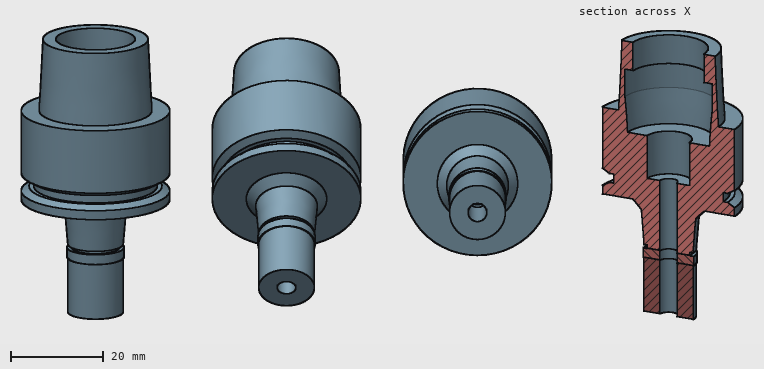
import cadquery as cq
import math


total_height = 61.0
nut_top = 12.25
collar_top = 14.45
stem_bottom = 15.2
stem_top = 23.1
flange_bottom = 25.15
taper_length = 16.0
flange_top = total_height - taper_length

through_bore_radius = 2.0
nut_radius = 12.0 / 2
collar_radius = 12.3 / 2

neck_radius = 10.5 / 2
stem_bottom_radius = nut_radius
stem_top_radius = 6.65
shoulder_radius = stem_top_radius + (flange_bottom - stem_top)
flange_radius = 32.0 / 2
taper_tip_radius = 11.35
taper_slope = 1 / 20
taper_base_radius = taper_tip_radius + taper_length * taper_slope

groove_radius = 13.3
groove_bottom = 28.1
groove_top = 30.1
flank_height = 1.0
flank_width = flank_height / math.tan(math.radians(30))

lip_radius = 8.55
lip_depth = 6.5
clamping_radius = 10.5
clamping_depth = 12.6
cavity_depth = 20.75
cavity_wall_slope = 0.08
cavity_floor_radius = clamping_radius - (cavity_depth - clamping_depth) * cavity_wall_slope
pilot_radius = 5.05
pilot_depth = 30.5


def turned(outline):
    """Solid of revolution about Z from (radius, height) points."""
    return cq.Workplane("XZ").polyline(outline).close().revolve(360, (0, 0), (0, 1))


def make_ring(outer_radius, bottom, top):
    """Plain ring around the through bore."""
    plane = cq.Workplane("XY").workplane(offset=bottom)
    return plane.circle(outer_radius).circle(through_bore_radius).extrude(top - bottom)


def make_holder_blank():
    flank_radius = flange_radius - flank_width
    return turned([
        (0, collar_top),
        (neck_radius, collar_top),
        (neck_radius, stem_bottom),
        (stem_bottom_radius, stem_bottom),
        (stem_top_radius, stem_top),
        (shoulder_radius, flange_bottom),
        (flange_radius, flange_bottom),
        (flange_radius, groove_bottom - flank_height),
        (flank_radius, groove_bottom),
        (groove_radius, groove_bottom),
        (groove_radius, groove_top),
        (flank_radius, groove_top),
        (flange_radius, groove_top + flank_height),
        (flange_radius, flange_top),
        (taper_base_radius, flange_top),
        (taper_tip_radius, total_height),
        (0, total_height),
    ])


def make_holder_cavity():
    lip_bottom = total_height - lip_depth
    clamping_bottom = total_height - clamping_depth
    cavity_floor = total_height - cavity_depth
    pilot_floor = total_height - pilot_depth
    return turned([
        (0, total_height),
        (lip_radius, total_height),
        (lip_radius, lip_bottom),
        (clamping_radius, lip_bottom),
        (clamping_radius, clamping_bottom),
        (cavity_floor_radius, cavity_floor),
        (pilot_radius, cavity_floor),
        (pilot_radius, pilot_floor),
        (through_bore_radius, pilot_floor),
        (through_bore_radius, collar_top),
        (0, collar_top),
    ])


holder = make_holder_blank().cut(make_holder_cavity())
collar = make_ring(collar_radius, nut_top, collar_top)
nut = make_ring(nut_radius, 0, nut_top)

result = cq.Compound.makeCompound([holder.val(), collar.val(), nut.val()])